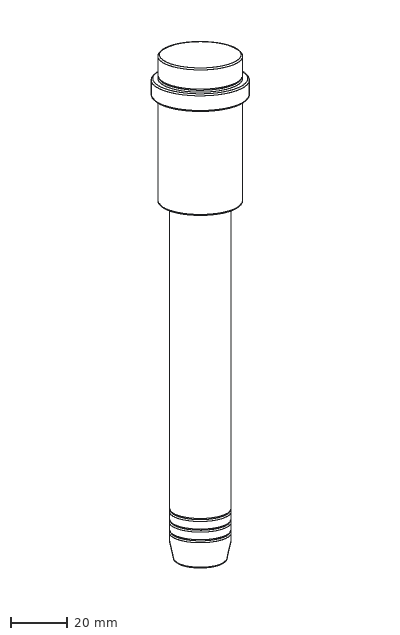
import cadquery as cq

total_length = 190.0
shaft_diameter = 22.0
tip_diameter = 18.8
taper_length = 7.5
tip_chamfer = 0.5

head_diameter = 30.2
head_length = 9.0
head_chamfer = 0.5
collar_diameter = 35.0
collar_thickness = 6.6
collar_chamfer = 0.5
shoulder_length = 39.9
shoulder_chamfer = 0.5

relief_width = 1.1
relief_depth = 0.4

groove_count = 3
groove_pitch = 4.0
groove_width = 1.1
groove_depth = 0.4
first_groove_height = 10.8

collar_top = total_length - head_length
collar_bottom = collar_top - collar_thickness
shoulder_bottom = collar_bottom - shoulder_length


def cylinder(diameter, bottom, top):
    """Solid cylinder on the Z axis between two heights."""
    return cq.Workplane("XY").workplane(offset=bottom).circle(diameter / 2).extrude(top - bottom)


def ring_groove(diameter, depth, width, center_height):
    """Cutting ring with a triangular section that leaves a V groove around a cylinder."""
    radius = diameter / 2
    return (
        cq.Workplane("XZ")
        .moveTo(radius - depth, center_height)
        .lineTo(radius, center_height + width / 2)
        .lineTo(radius + depth, center_height + width / 2)
        .lineTo(radius + depth, center_height - width / 2)
        .lineTo(radius, center_height - width / 2)
        .close()
        .revolve(360, (0, 0, 0), (0, 1, 0))
    )


def tapered_tip():
    """Cone that narrows from the shaft to the chamfered tip."""
    cone = (
        cq.Workplane("XY")
        .circle(tip_diameter / 2)
        .workplane(offset=taper_length)
        .circle(shaft_diameter / 2)
        .loft(ruled=True)
    )
    return cone.faces("<Z").chamfer(tip_chamfer)


shaft = cylinder(shaft_diameter, taper_length, shoulder_bottom)
shoulder = cylinder(head_diameter, shoulder_bottom, collar_bottom).faces("<Z").chamfer(shoulder_chamfer)
collar = cylinder(collar_diameter, collar_bottom, collar_top).edges().chamfer(collar_chamfer)
head = cylinder(head_diameter, collar_top, total_length).faces(">Z").chamfer(head_chamfer)

result = tapered_tip().union(shaft).union(shoulder).union(collar).union(head)

result = result.cut(ring_groove(head_diameter, relief_depth, relief_width, collar_top + relief_width / 2))

for index in range(groove_count):
    height = first_groove_height + index * groove_pitch
    result = result.cut(ring_groove(shaft_diameter, groove_depth, groove_width, height))